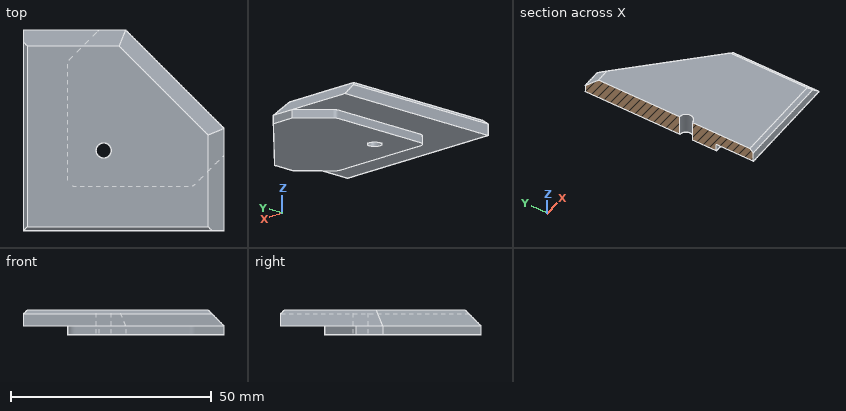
import cadquery as cq

side = 50.0
corner_cut = 24.5
plate_thickness = 4.0
bevel_angle = 45.0
rim_chamfer = 1.0

pad_height = 2.2
pad_inset = 11.0
pad_flank_start = 42.15
pad_corner_radius = 2.0

hole_diameter = 3.7
hole_offset = 20.0


def extrude_outline(points, height, taper=0.0):
    """Prism on the XY plane, narrowing upwards by the taper angle."""
    return cq.Workplane("XY").polyline(points).close().extrude(height, taper=taper)


def make_plate():
    """Plate with chamfered -X and -Y sides and the other three sides sloped inwards."""
    block = cq.Workplane("XY").box(side, side, plate_thickness, centered=False)
    block = block.edges("(<X or <Y) and >Z").chamfer(rim_chamfer)

    overhang = 2 * plate_thickness
    sloped_outline = [
        (-overhang, -overhang),
        (side, -overhang),
        (side, side - corner_cut),
        (side - corner_cut, side),
        (-overhang, side),
    ]
    sloped = extrude_outline(sloped_outline, plate_thickness, bevel_angle)
    return block.intersect(sloped)


def make_pad():
    """Pad that widens at 45 degrees and ends flush with the far sides of the plate."""
    flank_end = pad_inset + side - pad_flank_start
    outline = [
        (pad_inset, pad_inset),
        (pad_flank_start, pad_inset),
        (side, flank_end),
        (side, side - corner_cut),
        (side - corner_cut, side),
        (flank_end, side),
        (pad_inset, pad_flank_start),
    ]
    pad = extrude_outline(outline, pad_height)
    rounded_corners = (pad_inset, pad_inset), (pad_flank_start, pad_inset), (pad_inset, pad_flank_start)
    for x, y in rounded_corners:
        corner_edge = cq.selectors.NearestToPointSelector((x, y, pad_height / 2))
        pad = pad.edges(corner_edge).fillet(pad_corner_radius)
    return pad


def make_hole():
    """Cylinder that passes through both the pad and the plate."""
    return (
        cq.Workplane("XY")
        .center(hole_offset, hole_offset)
        .circle(hole_diameter / 2)
        .extrude(pad_height + plate_thickness)
    )


plate = make_plate().translate((0, 0, pad_height))
result = plate.union(make_pad()).cut(make_hole())